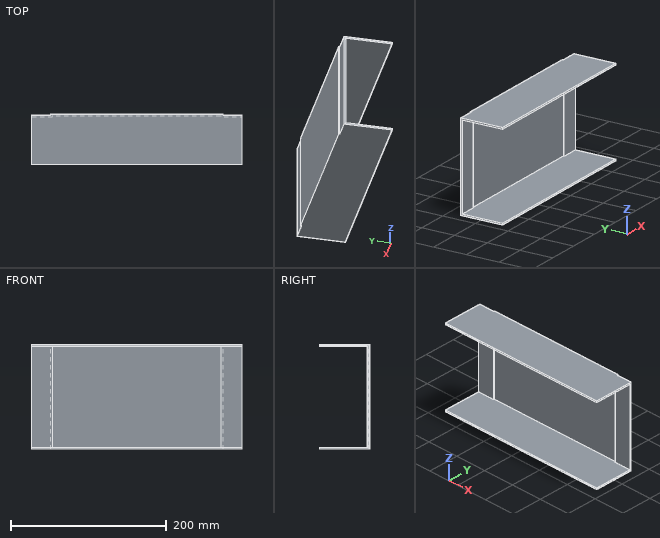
import cadquery as cq

length = 272.0
depth = 65.3
height = 135.0

sheet = 2.5
panel_offset = 1.4
recess_margin = 27.2
panel_margin = recess_margin - sheet

channel_depth = depth - panel_offset
inner_height = height - 2 * sheet


def block(size_x, size_y, size_z, front_y):
    """Block centred in X and Z, reaching from front_y toward +Y."""
    return cq.Workplane("XY").box(size_x, size_y, size_z).translate((0, front_y + size_y / 2, 0))


channel = block(length, channel_depth, height, 0)
channel = channel.cut(block(length, channel_depth - sheet, inner_height, 0))

panel = block(length - 2 * panel_margin, panel_offset + sheet, height, channel_depth - sheet)

recess = block(length - 2 * recess_margin, panel_offset, inner_height, channel_depth - sheet)

result = channel.union(panel).cut(recess)